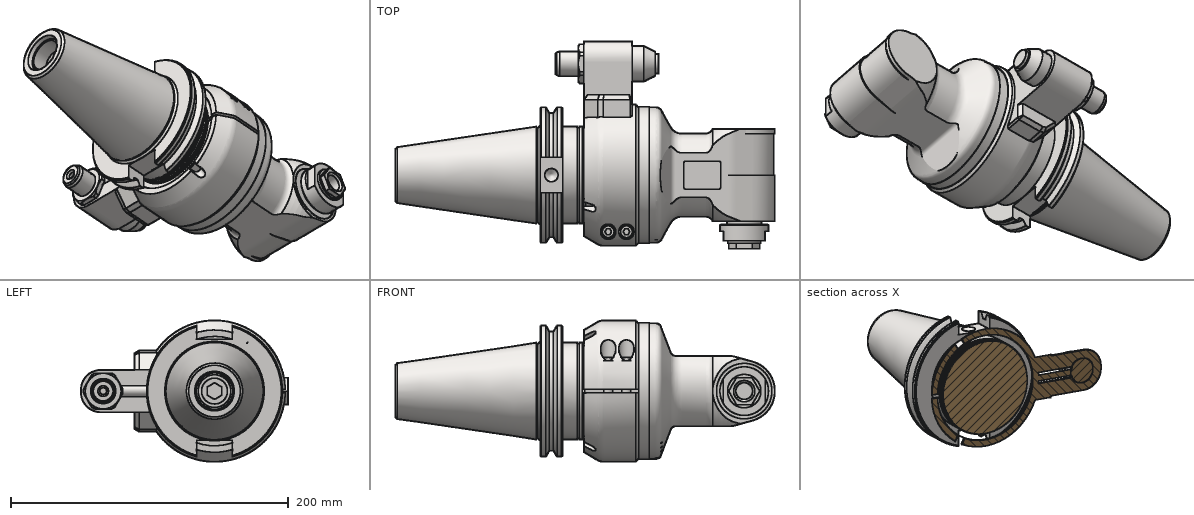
import cadquery as cq
import math


flange_start = 104.5
flange_end = 120.5
ring_start = 136.0
ring_end = 175.3

taper_end = 101.7
taper_tip_radius = 20.2
shank_radius = 35.0
relief_depth = 0.8
relief_length = 1.6
flange_root_radius = 35.8
tip_chamfer = 1.6
flange_radius = 49.0
flange_chamfer = 0.8
flange_rim = 4.6
groove_radius = 44.9
groove_slope_length = 2.0
seal_groove_start = 131.0
mouth_groove_start = 134.8
drive_slot_width = 25.7
drive_slot_heights = {1: 37.5, -1: 35.3}
dimple_diameter = 9.5
dimple_depth = 2.7
bore_mouth_radius = 14.2
bore_mouth_floor_radius = 13.0
bore_mouth_depth = 3.3
bore_radius = 11.8
bore_depth = 16.5
bolt_head_radius = 9.3
bolt_head_height = 2.7
bolt_hex_flats = 10.5
bolt_hex_depth = 4.5

ring_diameter = 102.0
ring_radius = ring_diameter / 2
ring_face_radius = 44.0
ring_shoulder = (145.8, 49.8)
ring_round_end = 150.0
ring_end_chamfer = 2.2
ring_mouth_diameter = 78.8
ring_mouth_depth = 1.5
slit_width = 2.5
notch_width = 6.0
notch_length = 8.5
notch_angle = 60

screw_stations = (153.5, 166.5)
screw_y = -40.8
screw_pocket_diameter = 11.0
screw_pocket_floor = 22.0
screw_head_diameter = 8.5
screw_head_top = 24.3
screw_hex_flats = 4.0
screw_hex_depth = 2.7
screw_shaft_diameter = 6.5

arm_end = 170.7
arm_thickness = 30.5
arm_reach = 96.3
arm_end_round = 14.5
arm_rib_diameter = 8.0
lug_top = 29.3
lug_reach = 57.7
lug_bevel_length = 3.5
lug_bevel_angle = 30
lug_end_chamfer = 1.5
lug_shoulder = (145.8, 27.5)

pin_radius = 9.0
pin_y = 80.1
pin_tip_x = 115.2
pin_tip_radius = 8.2
pin_tip_chamfer = 1.0
pin_tip_length = 3.3
pin_hole_mouth_radius = 3.8
pin_hole_radius = 2.5
pin_hole_mouth_depth = 1.5
pin_hole_depth = 5.0
pin_nut_start = 131.8
pin_nut_flats = 26.0
pin_nut_face_radius = 12.9
pin_nut_corner_radius = 14.2
pin_nut_chamfer = 1.0
pin_collar_radius = 12.9
pin_collar_end = 179.2
pin_cone_end = 187.4
pin_cone_end_radius = 8.8
pin_button_radius = 7.0
pin_end = 189.8

head_flange_radius = 49.2
head_band_start = 183.0
head_band_end = 187.4
head_band_groove = 0.3
head_shoulder = (192.3, 45.7)
neck_radius = 30.0
neck_cone_end = (198.5, 34.5)
neck_start = 206.2
neck_end = 223.7
head_half_width = 33.5
side_start = 213.3
flare_start = (228.7, 33.5)
flare_cones = [(232.2, 35.5), (235.8, 37.5), (239.0, 38.8), (243.0, 40.0), (250.0, 41.0)]
flat_height = 25.5
flat_slope_end = (198.5, 27.5)
flat_start = 201.9
flat_slope_top = (189.3, 52.0)
flat_corner_x = 242.5
flat_corner_length = 2.5
nose_radius = 22.2
nose_relief = 0.8
head_end = 273.5
nose_x = head_end - nose_radius
plug_thickness = 3.5
face_recess_radius = 20.0
face_recess_depth = 0.8
label_start = 208.0
label_end = 234.5
label_width = 20.2
label_corner = 1.5
label_depth = 0.3

chuck_neck_radius = 12.5
chuck_flange_radius = 17.5
chuck_flange_start = 35.3
chuck_flange_end = 40.5
chuck_flange_chamfer = 0.8
chuck_body_flats = 30.0
chuck_body_end = 47.3
chuck_waist_radius = 12.0
chuck_nut_start = 49.2
chuck_nut_corners = 22.5
chuck_end = 53.0
chuck_bore_diameter = 12.0
chuck_bore_mouth = 15.3
chuck_bore_chamfer = 1.5
chuck_bore_depth = 11.0


def turned(outline):
    """Solid of revolution about X from (x, radius) points."""
    profile = cq.Workplane("XY").polyline(outline).close()
    return profile.revolve(360, (0, 0, 0), (1, 0, 0))


def rod_x(diameter, start, end, y=0, z=0):
    """Cylinder parallel to X."""
    return cq.Workplane("YZ", origin=(start, y, z)).circle(diameter / 2).extrude(end - start)


def rod_y(radius, start, end):
    """Cylinder on the output axis, parallel to Y."""
    return cq.Workplane("XZ", origin=(nose_x, start, 0)).circle(radius).extrude(start - end)


def rod_z(diameter, x, y, start, end):
    """Cylinder parallel to Z."""
    return cq.Workplane("XY", origin=(x, y, start)).circle(diameter / 2).extrude(end - start)


def hex_corners(flats):
    """Diameter across the corners of a hexagon of the given width across flats."""
    return flats / math.cos(math.pi / 6)


def flange_outline():
    """Gripper flange with its V-groove, as (x, radius) points."""
    chamfered = flange_radius - flange_chamfer
    groove_start = flange_start + flange_rim + groove_slope_length
    groove_end = flange_end - flange_rim - groove_slope_length
    return [
        (flange_start, chamfered),
        (flange_start + flange_chamfer, flange_radius),
        (flange_start + flange_rim - flange_chamfer, flange_radius),
        (flange_start + flange_rim, chamfered),
        (groove_start, groove_radius),
        (groove_end, groove_radius),
        (flange_end - flange_rim, chamfered),
        (flange_end - flange_rim + flange_chamfer, flange_radius),
        (flange_end - flange_chamfer, flange_radius),
        (flange_end, chamfered),
    ]


def shank_bore():
    """Threaded end bore with the draw bolt's head left standing at its bottom."""
    bore = turned([
        (0, 0),
        (0, bore_mouth_radius),
        (bore_mouth_depth, bore_mouth_floor_radius),
        (bore_mouth_depth, bore_radius),
        (bore_depth, bore_radius),
        (bore_depth, bolt_head_radius),
        (bore_depth - bolt_head_height, bolt_head_radius),
        (bore_depth - bolt_head_height, 0),
    ])
    socket = (
        cq.Workplane("YZ", origin=(bore_depth - bolt_head_height, 0, 0))
        .transformed(rotate=(0, 0, 90))
        .polygon(6, hex_corners(bolt_hex_flats))
        .extrude(bolt_hex_depth)
    )
    return bore.union(socket)


def make_shank():
    """Taper, grooved flange with drive slots, and the plain neck that the ring clamps."""
    relief_radius = shank_radius - relief_depth
    seal_groove_end = seal_groove_start + relief_length
    mouth_groove_end = mouth_groove_start + relief_length
    shank = turned([
        (0, 0),
        (0, taper_tip_radius - tip_chamfer),
        (tip_chamfer, taper_tip_radius),
        (taper_end, shank_radius),
        (taper_end, relief_radius),
        (flange_start - relief_length, relief_radius),
        (flange_start, flange_root_radius),
        *flange_outline(),
        (flange_end, shank_radius),
        (seal_groove_start, shank_radius),
        (seal_groove_start, relief_radius),
        (seal_groove_end, relief_radius),
        (seal_groove_end, shank_radius),
        (mouth_groove_start, shank_radius),
        (mouth_groove_start, relief_radius),
        (mouth_groove_end, relief_radius),
        (mouth_groove_end, shank_radius),
        (ring_end, shank_radius),
        (ring_end, 0),
    ])
    flange_length = flange_end - flange_start
    flange_middle = (flange_start + flange_end) / 2
    for side, height in drive_slot_heights.items():
        slot_depth = flange_radius - height
        slot = cq.Workplane("XY").box(flange_length, drive_slot_width, slot_depth)
        shank = shank.cut(slot.translate((flange_middle, 0, side * (height + slot_depth / 2))))
    dimple = cq.Solid.makeCone(
        0,
        dimple_diameter / 2,
        dimple_depth,
        pnt=cq.Vector(flange_middle, 0, drive_slot_heights[1] - dimple_depth),
    )
    return shank.cut(cq.Workplane(dimple)).cut(shank_bore())


def ring_hoop():
    """Solid blank of the ring: front cone, rounded shoulder and chamfered rear edge."""
    return (
        cq.Workplane("XY")
        .moveTo(ring_start, 0)
        .lineTo(ring_start, ring_face_radius)
        .lineTo(*ring_shoulder)
        .tangentArcPoint((ring_round_end, ring_radius), relative=False)
        .lineTo(ring_end - ring_end_chamfer, ring_radius)
        .lineTo(ring_end, ring_radius - ring_end_chamfer)
        .lineTo(ring_end, 0)
        .close()
        .revolve(360, (0, 0, 0), (1, 0, 0))
    )


def lug_outline(y):
    """Outline of both lugs together in the XZ plane at the given Y."""
    return (
        cq.Workplane("XZ", origin=(0, y, 0))
        .moveTo(ring_start, arm_thickness / 2)
        .lineTo(*lug_shoulder)
        .lineTo(ring_round_end, lug_top)
        .lineTo(arm_end - lug_end_chamfer, lug_top)
        .lineTo(arm_end, lug_top - lug_end_chamfer)
        .lineTo(arm_end, -lug_top + lug_end_chamfer)
        .lineTo(arm_end - lug_end_chamfer, -lug_top)
        .lineTo(ring_round_end, -lug_top)
        .lineTo(lug_shoulder[0], -lug_shoulder[1])
        .lineTo(ring_start, -arm_thickness / 2)
        .close()
    )


def stop_arm():
    """Flat arm with a round end on wider bevelled lugs; a half-round rib lies sunk in its front face."""
    arm_length = arm_end - ring_start
    arm_middle = (ring_start + arm_end) / 2
    arm = (
        cq.Workplane("XY")
        .box(arm_length, arm_reach, arm_thickness)
        .translate((arm_middle, arm_reach / 2, 0))
        .edges("|X and >Y")
        .fillet(arm_end_round)
    )
    bevel_start = lug_reach - lug_bevel_length
    lug = lug_outline(0).extrude(-bevel_start)
    bevel = lug_outline(bevel_start).extrude(-lug_bevel_length, taper=lug_bevel_angle)
    rib_radius = arm_rib_diameter / 2
    groove = cq.Workplane("XY").box(rib_radius, pin_y, arm_rib_diameter)
    groove = groove.translate((ring_start + rib_radius / 2, pin_y / 2, 0))
    rib = cq.Workplane("XZ", origin=(ring_start + rib_radius, 0, 0)).circle(rib_radius).extrude(-pin_y)
    return arm.union(lug).union(bevel).cut(groove.cut(rib))


def cut_clamp_screw(ring, x):
    """Screw pocket with the screw head inside it and its shaft across the slit."""
    pocket = rod_z(screw_pocket_diameter, x, screw_y, screw_pocket_floor, ring_radius)
    head = rod_z(screw_head_diameter, x, screw_y, screw_pocket_floor, screw_head_top)
    socket = (
        cq.Workplane("XY", origin=(x, screw_y, screw_head_top))
        .polygon(6, hex_corners(screw_hex_flats))
        .extrude(-screw_hex_depth)
    )
    shaft = rod_z(screw_shaft_diameter, x, screw_y, -slit_width, slit_width)
    return ring.cut(pocket).union(head).cut(socket).union(shaft)


def radial_notch(angle):
    """Round-ended notch in the ring's front cone, turned about X from the -Y direction."""
    notch = (
        cq.Workplane("XZ", origin=(ring_start, -ring_mouth_diameter / 2, 0))
        .slot2D(2 * notch_length, notch_width)
        .extrude(ring_radius - ring_mouth_diameter / 2)
    )
    return notch.rotate((0, 0, 0), (1, 0, 0), angle)


def make_clamp_ring():
    """Bored and slit hoop with its arm, clamp screws and front notches."""
    ring = ring_hoop().union(stop_arm())
    ring = ring.cut(rod_x(2 * shank_radius, ring_start, ring_end))
    ring = ring.cut(rod_x(2 * pin_radius, ring_start, arm_end, y=pin_y))
    slit = cq.Workplane("XY").box(ring_end - ring_start, ring_radius, slit_width)
    ring = ring.cut(slit.translate(((ring_start + ring_end) / 2, -ring_radius / 2, 0)))
    for x in screw_stations:
        ring = cut_clamp_screw(ring, x)
    ring = ring.cut(rod_x(ring_mouth_diameter, ring_start, ring_start + ring_mouth_depth))
    for angle in (notch_angle, -notch_angle):
        ring = ring.cut(radial_notch(angle))
    return ring


def make_pin():
    """Pin through the arm, with a hexagonal nut in front and a conical collar behind."""
    pin = turned([
        (pin_tip_x + pin_hole_depth, 0),
        (pin_tip_x + pin_hole_depth, pin_hole_radius),
        (pin_tip_x + pin_hole_mouth_depth, pin_hole_radius),
        (pin_tip_x, pin_hole_mouth_radius),
        (pin_tip_x, pin_tip_radius - pin_tip_chamfer),
        (pin_tip_x + pin_tip_chamfer, pin_tip_radius),
        (pin_tip_x + pin_tip_length, pin_radius),
        (arm_end, pin_radius),
        (arm_end, pin_collar_radius),
        (pin_collar_end, pin_collar_radius),
        (pin_cone_end, pin_cone_end_radius),
        (pin_cone_end, pin_button_radius),
        (pin_end, pin_button_radius),
        (pin_end, 0),
    ])
    nut_blank = turned([
        (pin_nut_start, 0),
        (pin_nut_start, pin_nut_face_radius),
        (pin_nut_start + pin_nut_chamfer, pin_nut_corner_radius),
        (ring_start, pin_nut_corner_radius),
        (ring_start, 0),
    ])
    nut = (
        cq.Workplane("YZ", origin=(pin_nut_start, 0, 0))
        .polygon(6, hex_corners(pin_nut_flats))
        .extrude(ring_start - pin_nut_start)
        .intersect(nut_blank)
    )
    return pin.union(nut).translate((0, pin_y, 0))


def head_blank():
    """Turned flange, neck and flared end of the angle head."""
    band_radius = head_flange_radius - head_band_groove
    return (
        cq.Workplane("XY")
        .moveTo(ring_end, 0)
        .lineTo(ring_end, head_flange_radius)
        .lineTo(head_band_start, head_flange_radius)
        .lineTo(head_band_start, band_radius)
        .lineTo(head_band_end, band_radius)
        .tangentArcPoint(head_shoulder, relative=False)
        .lineTo(*neck_cone_end)
        .tangentArcPoint((neck_start, neck_radius), relative=False)
        .lineTo(neck_end, neck_radius)
        .tangentArcPoint(flare_start, relative=False)
        .polyline(flare_cones, includeCurrent=True)
        .lineTo(head_end, flare_cones[-1][1])
        .lineTo(head_end, 0)
        .close()
        .revolve(360, (0, 0, 0), (1, 0, 0))
    )


def head_envelope(radius, y_start, y_end):
    """Side outline with flats and a round nose of the given radius, carried from y_start to y_end."""
    corner_distance = math.hypot(flat_corner_x - nose_x, flat_height)
    corner_angle = math.atan2(flat_height, flat_corner_x - nose_x)
    tangent_angle = corner_angle - math.acos(radius / corner_distance)
    tangent_point = (nose_x + radius * math.cos(tangent_angle), radius * math.sin(tangent_angle))
    corner_end = (
        flat_corner_x + flat_corner_length * math.sin(tangent_angle),
        flat_height - flat_corner_length * math.cos(tangent_angle),
    )
    half = (
        cq.Workplane("XZ", origin=(0, y_start, 0))
        .moveTo(ring_end, 0)
        .lineTo(ring_end, flat_slope_top[1])
        .lineTo(*flat_slope_top)
        .lineTo(*flat_slope_end)
        .tangentArcPoint((flat_start, flat_height), relative=False)
        .lineTo(flat_corner_x - flat_corner_length, flat_height)
        .tangentArcPoint(corner_end, relative=False)
        .lineTo(*tangent_point)
        .tangentArcPoint((nose_x + radius, 0), relative=False)
        .close()
        .extrude(y_start - y_end)
    )
    return half.union(half.mirror("XY"))


def make_head():
    """Blank trimmed to flats and a round nose, with the end plug, face recess and label recess."""
    outer_y = flat_slope_top[1]
    lower_envelope = head_envelope(nose_radius, -outer_y, 0)
    upper_envelope = head_envelope(nose_radius - nose_relief, 0, outer_y)
    head = head_blank().intersect(lower_envelope.union(upper_envelope))
    side_length = head_end - side_start
    for side in (1, -1):
        trim = cq.Workplane("XY").box(side_length, outer_y, 2 * outer_y)
        trim_y = side * (head_half_width + outer_y / 2)
        head = head.cut(trim.translate((side_start + side_length / 2, trim_y, 0)))
    head = head.union(rod_y(nose_radius, head_half_width - plug_thickness, head_half_width))
    recess_floor = face_recess_depth - head_half_width
    head = head.cut(rod_y(face_recess_radius, -head_half_width, recess_floor))
    label = (
        cq.Workplane("XY")
        .box(label_end - label_start, label_width, label_depth)
        .edges("|Z")
        .fillet(label_corner)
        .translate(((label_start + label_end) / 2, 0, flat_height - label_depth / 2))
    )
    return head.cut(label)


def make_chuck():
    """Output chuck: collared body with two flats, a waist and a hexagonal nose with a bore."""
    chuck_start = head_half_width - face_recess_depth
    chamfered = chuck_flange_radius - chuck_flange_chamfer
    outline = [
        (0, chuck_start),
        (chuck_neck_radius, chuck_start),
        (chuck_neck_radius, chuck_flange_start),
        (chamfered, chuck_flange_start),
        (chuck_flange_radius, chuck_flange_start + chuck_flange_chamfer),
        (chuck_flange_radius, chuck_flange_end),
        (chuck_waist_radius, chuck_flange_end),
        (chuck_waist_radius, chuck_nut_start),
        (0, chuck_nut_start),
    ]
    profile = cq.Workplane("XY").polyline([(nose_x + radius, -y) for radius, y in outline]).close()
    chuck = profile.revolve(360, (nose_x, 0, 0), (nose_x, 1, 0))
    body_length = chuck_body_end - chuck_flange_end
    flats = cq.Workplane("XY").box(chuck_body_flats, body_length, 2 * chuck_flange_radius)
    flats = flats.translate((nose_x, -chuck_flange_end - body_length / 2, 0))
    body = rod_y(chuck_flange_radius, -chuck_flange_end, -chuck_body_end).intersect(flats)
    nose = (
        cq.Workplane("XZ", origin=(nose_x, -chuck_nut_start, 0))
        .polygon(6, chuck_nut_corners)
        .extrude(chuck_end - chuck_nut_start)
    )
    bore = rod_y(chuck_bore_diameter / 2, -chuck_end, chuck_bore_depth - chuck_end)
    mouth = cq.Solid.makeCone(
        chuck_bore_mouth / 2,
        chuck_bore_diameter / 2,
        chuck_bore_chamfer,
        pnt=cq.Vector(nose_x, -chuck_end, 0),
        dir=cq.Vector(0, 1, 0),
    )
    return chuck.union(body).union(nose).cut(bore).cut(cq.Workplane(mouth))


shank = make_shank()
clamp_ring = make_clamp_ring()
head = make_head()
chuck = make_chuck()
pin = make_pin()

result = cq.Compound.makeCompound([
    shank.val(),
    clamp_ring.val(),
    head.val(),
    chuck.val(),
    pin.val(),
])